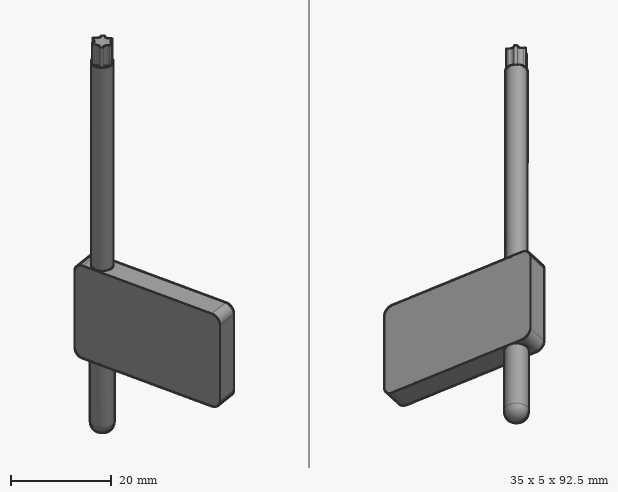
import cadquery as cq
import math

plate_length = 35.0
plate_thickness = 5.0
plate_height = 22.0
plate_corner_radius = 2.0

lower_rod_radius = plate_thickness / 2
lower_rod_length = 17.5

upper_rod_radius = 2.25
rod_inset = 5.0

lobe_count = 6
tip_length = 4.8
tip_outer_radius = upper_rod_radius
tip_root_radius = 1.6
flute_radius = 0.9

total_height = 92.5
bottom_z = -lower_rod_length
top_z = bottom_z + total_height
tip_base_z = top_z - tip_length


def polar(radius, angle):
    return (radius * math.cos(angle), radius * math.sin(angle))


def make_plate():
    return (
        cq.Workplane("XY")
        .box(plate_length, plate_thickness, plate_height, centered=(False, True, False))
        .translate((-rod_inset, 0, 0))
        .edges("|Y")
        .fillet(plate_corner_radius)
    )


def make_lower_rod():
    dome_center_z = bottom_z + lower_rod_radius
    dome_mid = lower_rod_radius * math.sqrt(0.5)
    return (
        cq.Workplane("XZ")
        .moveTo(0, 0)
        .lineTo(lower_rod_radius, 0)
        .lineTo(lower_rod_radius, dome_center_z)
        .threePointArc((dome_mid, dome_center_z - dome_mid), (0, bottom_z))
        .close()
        .revolve(360, (0, 0, 0), (0, 1, 0))
    )


def make_upper_rod():
    return (
        cq.Workplane("XY")
        .workplane(offset=plate_height)
        .circle(upper_rod_radius)
        .extrude(tip_base_z - plate_height)
    )


def make_driver_tip():
    pitch = 2 * math.pi / lobe_count
    half_pitch = pitch / 2
    flute_center = tip_root_radius + flute_radius

    along = flute_center * math.cos(half_pitch)
    across = flute_center * math.sin(half_pitch)
    gap = tip_outer_radius - along
    lobe_radius = (gap**2 + across**2 - flute_radius**2) / (2 * (flute_radius + gap))

    lobe_center = tip_outer_radius - lobe_radius
    share = lobe_radius / (lobe_radius + flute_radius)
    joint_x = lobe_center + share * (along - lobe_center)
    joint_y = share * across
    joint_radius = math.hypot(joint_x, joint_y)
    joint_angle = math.atan2(joint_y, joint_x)

    profile = cq.Workplane("XY").workplane(offset=tip_base_z).moveTo(joint_x, -joint_y)
    for i in range(lobe_count):
        lobe_angle = pitch * i
        next_angle = lobe_angle + pitch
        profile = profile.threePointArc(
            polar(tip_outer_radius, lobe_angle),
            polar(joint_radius, lobe_angle + joint_angle),
        )
        profile = profile.threePointArc(
            polar(tip_root_radius, lobe_angle + half_pitch),
            polar(joint_radius, next_angle - joint_angle),
        )
    return profile.close().extrude(tip_length)


result = make_plate().union(make_lower_rod()).union(make_upper_rod()).union(make_driver_tip())